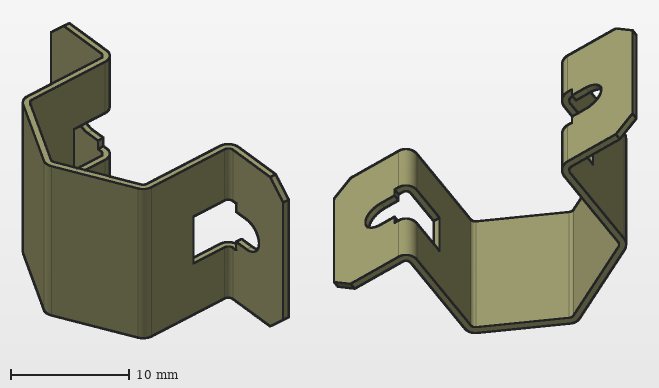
import cadquery as cq
import math

length = 30.5
depth = 13.9
height = 16.0
thickness = 0.6
inner_radius = 0.5
outer_radius = inner_radius + thickness

leg_half_width = 8.15
vee_angle = math.radians(27.3)
flange_chamfer = 1.7

window_height = 5.0
window_depth = 4.5
window_half_span = 9.05
slot_height = 3.2
slot_half_span = 12.05

leg_inner = leg_half_width - thickness
tip_outer = -depth - outer_radius * (1 / math.cos(vee_angle) - 1)
tip_inner = tip_outer + thickness / math.cos(vee_angle)
knee_outer = tip_outer + leg_half_width * math.tan(vee_angle)
knee_inner = tip_inner + leg_inner * math.tan(vee_angle)

front_corners = [(leg_half_width, -thickness), (leg_half_width, knee_outer), (0, tip_outer)]
back_corners = [(leg_inner, 0), (leg_inner, knee_inner), (0, tip_inner)]
front_radii = [inner_radius, outer_radius, outer_radius]
back_radii = [outer_radius, inner_radius, inner_radius]


def mirrored(points):
    """Reflect points across the centre plane, reversing their order."""
    return [(-x, y) for x, y in reversed(points)]


def bent_strip():
    """Sheet profile extruded upward, with every bend rounded."""
    front_half = [(length / 2, -thickness)] + front_corners
    back_half = [(length / 2, 0)] + back_corners
    front_face = front_half + mirrored(front_half[:-1])
    back_face = back_half + mirrored(back_half[:-1])
    strip = cq.Workplane("XY").polyline(front_face + back_face[::-1]).close().extrude(height)
    bends = zip(front_corners + back_corners, front_radii + back_radii)
    for (x, y), radius in bends:
        for corner_x in {x, -x}:
            corner = cq.selectors.NearestToPointSelector((corner_x, y, height / 2))
            strip = strip.edges("|Z").edges(corner).fillet(radius)
    return strip


def keyhole_cutter():
    """Round-ended slot through both flanges plus the wider window into the legs."""
    middle = height / 2
    slot = (
        cq.Workplane("XZ")
        .center(0, middle)
        .slot2D(2 * slot_half_span, slot_height)
        .extrude(window_depth)
    )
    window = (
        cq.Workplane("XZ")
        .center(0, middle)
        .rect(2 * window_half_span, window_height)
        .extrude(window_depth)
    )
    return slot.union(window)


strip = bent_strip()
strip = strip.faces("<X or >X").edges("|Y").chamfer(flange_chamfer)
result = strip.cut(keyhole_cutter())